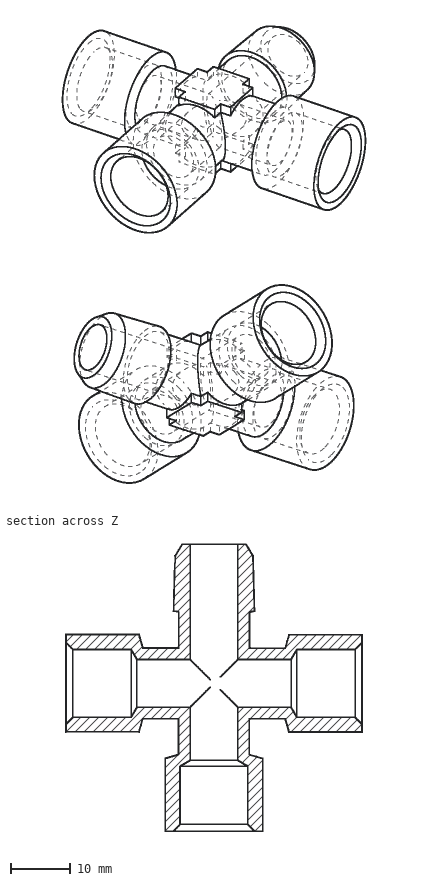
import cadquery as cq

pipe_radius = 6.0
bore_radius = 4.0
shoulder_distance = 12.0

socket_reach = 25.0
socket_radius = 8.25
socket_back_bevel = 0.65
mouth_radius = 6.9
socket_bore_radius = 5.7
mouth_bevel_depth = 1.2
socket_bore_end = 14.0
bore_cone_length = 1.0

plug_reach = 23.5
plug_base_radius = 6.85
plug_front_radius = 6.6
plug_tip_radius = 5.4
plug_tip_bevel = 2.0
plug_back_bevel = 0.2

pad_length = 11.0
pad_width = 7.1
pad_half_height = 6.55


def revolve_along_arm(points):
    """Revolve an outline of (radius, distance) points about the +Y axis."""
    return cq.Workplane("XY").polyline(points).close().revolve(360, (0, 0), (0, 1))


def turn(solid, angle):
    """Turn an arm from +Y about the vertical axis through the hub."""
    return solid.rotate((0, 0, 0), (0, 0, 1), angle)


socket_outside = revolve_along_arm([
    (0, 0),
    (pipe_radius, 0),
    (pipe_radius, shoulder_distance),
    (socket_radius, shoulder_distance + socket_back_bevel),
    (socket_radius, socket_reach),
    (0, socket_reach),
])

socket_inside = revolve_along_arm([
    (0, 0),
    (bore_radius, 0),
    (bore_radius, socket_bore_end - bore_cone_length),
    (socket_bore_radius, socket_bore_end),
    (socket_bore_radius, socket_reach - mouth_bevel_depth),
    (mouth_radius, socket_reach),
    (0, socket_reach),
])

plug_outside = revolve_along_arm([
    (0, 0),
    (pipe_radius, 0),
    (pipe_radius, shoulder_distance),
    (plug_base_radius, shoulder_distance + plug_back_bevel),
    (plug_front_radius, plug_reach - plug_tip_bevel),
    (plug_tip_radius, plug_reach),
    (0, plug_reach),
])

plug_inside = revolve_along_arm([
    (0, 0),
    (bore_radius, 0),
    (bore_radius, plug_reach),
    (0, plug_reach),
])

pad_height = 2 * pad_half_height
pads = cq.Workplane("XY").box(pad_length, pad_width, pad_height)
pads = pads.union(cq.Workplane("XY").box(pad_width, pad_length, pad_height))
body = plug_outside.union(pads)

socket_angles = (90, 180, 270)
for angle in socket_angles:
    body = body.union(turn(socket_outside, angle))

body = body.cut(plug_inside)
for angle in socket_angles:
    body = body.cut(turn(socket_inside, angle))

result = body